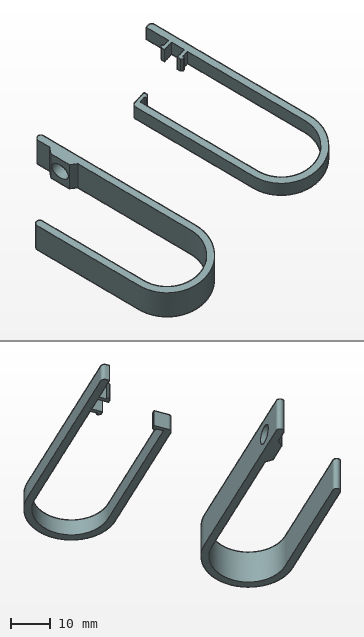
import cadquery as cq

thickness = 2.0
outer_radius = 12.0
inner_radius = outer_radius - thickness
overall_length_y = 72.4
bend_spacing = overall_length_y - 2 * outer_radius

wide_height = 10.0
wide_long_end = -48.95
wide_short_end = -32.95

peg_center = -40.0
pad_half_width = 2.9
pad_depth = 1.5
hole_diameter = 5.2

narrow_height = wide_height / 2
narrow_long_end = -49.95
corner_fillet = 1.0

prong_thickness = 1.0
prong_length = 3.0
prong_gap = 4.0
hook_overhang = 0.5
hook_length = 1.0
hook_flat = 0.5


def u_band(long_end, short_end, height, center_y):
    """U-shaped band whose long leg is on the +Y side."""
    return (
        cq.Workplane("XY")
        .moveTo(long_end, center_y + outer_radius)
        .lineTo(0, center_y + outer_radius)
        .threePointArc((outer_radius, center_y), (0, center_y - outer_radius))
        .lineTo(short_end, center_y - outer_radius)
        .lineTo(short_end, center_y - inner_radius)
        .lineTo(0, center_y - inner_radius)
        .threePointArc((inner_radius, center_y), (0, center_y + inner_radius))
        .lineTo(long_end, center_y + inner_radius)
        .close()
        .extrude(height)
    )


def round_tip(end_x, center_y):
    """Full-round tip that extends a leg to end_x."""
    radius = thickness / 2
    return (
        cq.Workplane("XY")
        .center(end_x + radius, center_y)
        .circle(radius)
        .extrude(wide_height)
    )


def hooked_prong(inner_x, base_y, side_x, side_y):
    """Prong along side_y from base_y, with a hook on the side_x side of its tip."""
    outer_x = inner_x + side_x * prong_thickness
    hook_x = outer_x + side_x * hook_overhang
    tip_y = base_y + side_y * prong_length
    hook_base_y = tip_y - side_y * hook_length
    hook_slope_y = hook_base_y + side_y * hook_flat
    return (
        cq.Workplane("XY")
        .polyline([
            (inner_x, base_y - side_y * thickness / 2),
            (outer_x, base_y - side_y * thickness / 2),
            (outer_x, hook_base_y),
            (hook_x, hook_base_y),
            (hook_x, hook_slope_y),
            (outer_x, tip_y),
            (inner_x, tip_y),
        ])
        .close()
        .extrude(narrow_height)
    )


def make_wide_clip():
    """Wide clip with rounded leg tips and a drilled pad on the long leg."""
    center_y = 0
    tip_radius = thickness / 2
    leg_offset = outer_radius - tip_radius
    clip = u_band(wide_long_end + tip_radius, wide_short_end + tip_radius, wide_height, center_y)
    clip = clip.union(round_tip(wide_long_end, center_y + leg_offset))
    clip = clip.union(round_tip(wide_short_end, center_y - leg_offset))

    pad_root = center_y + leg_offset
    pad_base = center_y + inner_radius
    pad_face = pad_base - pad_depth
    base_half_width = pad_half_width + pad_depth
    pad = (
        cq.Workplane("XY")
        .polyline([
            (peg_center - base_half_width, pad_root),
            (peg_center - base_half_width, pad_base),
            (peg_center - pad_half_width, pad_face),
            (peg_center + pad_half_width, pad_face),
            (peg_center + base_half_width, pad_base),
            (peg_center + base_half_width, pad_root),
        ])
        .close()
        .extrude(wide_height)
    )

    hole = (
        cq.Workplane("XZ", origin=(peg_center, center_y + outer_radius, wide_height / 2))
        .circle(hole_diameter / 2)
        .extrude(thickness + pad_depth)
    )
    return clip.union(pad).cut(hole)


def make_narrow_clip():
    """Narrow clip with a split peg on the long leg and a catch on the short leg."""
    center_y = bend_spacing
    left_prong_x = peg_center - prong_gap / 2
    right_prong_x = peg_center + prong_gap / 2
    clip = u_band(narrow_long_end, right_prong_x, narrow_height, center_y)

    top_corner = cq.selectors.NearestToPointSelector(
        (narrow_long_end, center_y + outer_radius, narrow_height / 2)
    )
    bottom_corner = cq.selectors.NearestToPointSelector(
        (right_prong_x, center_y - outer_radius, narrow_height / 2)
    )
    clip = clip.edges(top_corner).fillet(corner_fillet)
    clip = clip.edges(bottom_corner).fillet(corner_fillet)

    long_leg_face = center_y + inner_radius
    short_leg_face = center_y - inner_radius
    clip = clip.union(hooked_prong(left_prong_x, long_leg_face, -1, -1))
    clip = clip.union(hooked_prong(right_prong_x, long_leg_face, 1, -1))
    return clip.union(hooked_prong(right_prong_x, short_leg_face, 1, 1))


wide_clip = make_wide_clip()
narrow_clip = make_narrow_clip()

result = cq.Compound.makeCompound([wide_clip.val(), narrow_clip.val()])